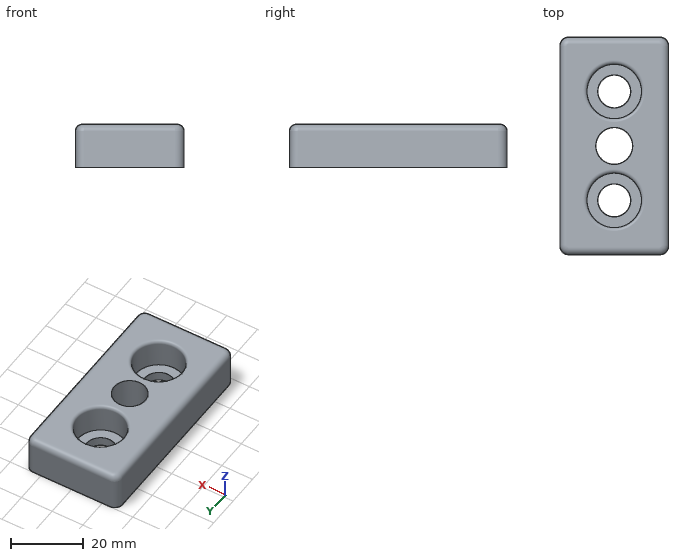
import cadquery as cq

width = 30.0
length = 60.0
height = 12.0
corner_radius = 2.5
top_edge_radius = 2.0

screw_spacing = length / 2
screw_diameter = 9.0
counterbore_diameter = 15.0
counterbore_depth = 9.0
rim_radius = 1.0

centre_diameter = 10.1


def make_block():
    """Block standing on Z = 0 with rounded corners and a rounded top edge."""
    block = cq.Workplane("XY").box(width, length, height, centered=(True, True, False))
    block = block.edges("|Z").fillet(corner_radius)
    return block.faces(">Z").edges().fillet(top_edge_radius)


def make_screw_cutter():
    """Revolved counterbored hole whose rim flares out in a convex rounding."""
    screw_radius = screw_diameter / 2
    bore_radius = counterbore_diameter / 2
    return (
        cq.Workplane("XZ")
        .lineTo(screw_radius, 0)
        .lineTo(screw_radius, height - counterbore_depth)
        .lineTo(bore_radius, height - counterbore_depth)
        .lineTo(bore_radius, height - rim_radius)
        .radiusArc((bore_radius + rim_radius, height), rim_radius)
        .lineTo(0, height)
        .close()
        .revolve(360, (0, 0, 0), (0, 1, 0))
    )


result = make_block()
for side in (-1, 1):
    result = result.cut(make_screw_cutter().translate((0, side * screw_spacing / 2, 0)))

centre_cutter = cq.Workplane("XY").circle(centre_diameter / 2).extrude(height)
result = result.cut(centre_cutter)